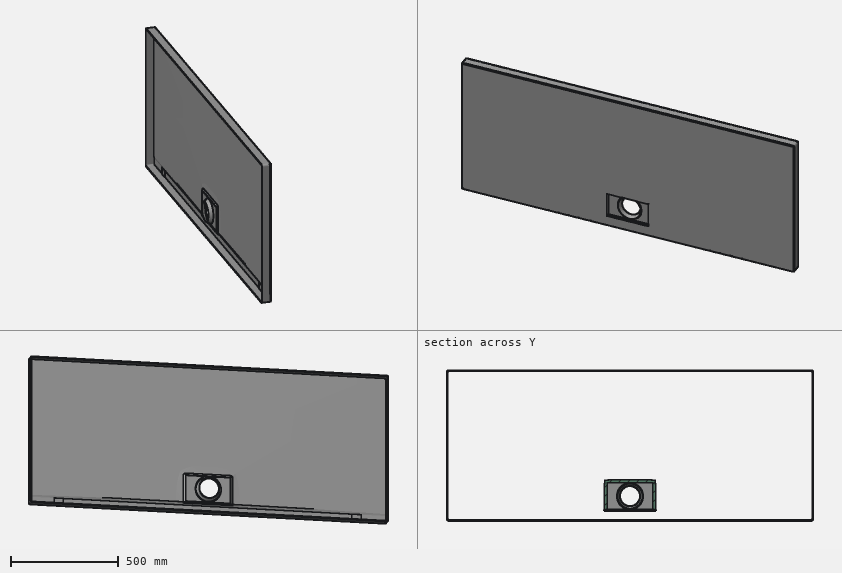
import cadquery as cq
import math

length = 1700.0
depth = 48.0
height = 700.0
corner_radius = 10.0
edge_chamfer = 5.0
wall = 5.0

half_length = length / 2
half_height = height / 2
back_y = depth / 2
front_y = -depth / 2

ledge_level = 17.0
rim_level = 15.0
back_middle_level = 14.5
knee_level = 12.0
foot_level = 12.0
skirt_level = 10.0
sump_level = 8.0
platform_level = 2.0
collar_level = -17.0

floor_left = wall - half_length
floor_top = half_height - wall
floor_bottom = -300.0
floor_corner_z = -305.0
ledge_top = -313.0
knee_x, knee_z = -393.0, 19.0
side_seam_z = 25.0
back_seam_x = -425.0
back_bow_x, back_bow_z = -413.0, 170.0
arch_crown_z = 114.0
arch_bow_x, arch_bow_z = -204.0, 82.0
foot_x = -500.0
foot_bow_x, foot_bow_z = -465.0, -130.0

skirt_corner_x, skirt_corner_z = -131.0, -151.0
skirt_side_x = -151.0
skirt_bow_x, skirt_bow_z = -146.0, -209.0
skirt_crown_z = -128.0
skirt_shoulder_x, skirt_shoulder_z = -92.0, -133.0

sump_half_width = 117.0
sump_top = -162.0
sump_corner_radius = 14.0
sump_wall_run = 10.0
drain_z = -235.0
drain_radius = 46.0
funnel_radius = 58.0
collar_base_radius = 61.0
collar_tip_radius = 48.0

sheet = 3.0
recess_margin = 12.0

pad_center_x = 707.0
pad_width = 45.0
pad_thickness = 2.0


def point(x, y, z):
    return cq.Vector(x, y, z)


def line(start, end):
    return cq.Edge.makeLine(start, end)


def arc(start, middle, end):
    return cq.Edge.makeThreePointArc(start, middle, end)


def ruled(first, second):
    return cq.Face.makeRuledSurface(first, second)


def flat(*corners):
    return cq.Face.makeFromWires(cq.Wire.makePolygon(corners, close=True))


def back_panel_level(x, z):
    """Level of the flat panel through the back seam, the knee and the back middle."""
    slope_x = (back_middle_level - rim_level) / -back_seam_x
    knee_drop = knee_level - rim_level - slope_x * (knee_x - back_seam_x)
    slope_z = knee_drop / (floor_top - knee_z)
    return rim_level + slope_x * (x - back_seam_x) + slope_z * (floor_top - z)


def on_back_panel(x, z):
    return point(x, back_panel_level(x, z), z)


def floor_half():
    """Left half of the sloped floor, bounded by its panels, a flat back and flat sides."""
    knee = point(knee_x, knee_level, knee_z)
    rim_top = point(floor_left, rim_level, floor_top)
    rim_seam = point(floor_left, rim_level, side_seam_z)
    rim_bottom = point(floor_left, rim_level, floor_corner_z)
    back_seam = on_back_panel(back_seam_x, floor_top)
    back_middle = on_back_panel(0, floor_top)
    crown = on_back_panel(0, arch_crown_z)
    foot = point(foot_x, foot_level, floor_bottom)
    skirt_corner = point(skirt_corner_x, skirt_level, skirt_corner_z)
    skirt_crown = point(0, skirt_level, skirt_crown_z)
    skirt_foot = point(skirt_side_x, skirt_level, floor_bottom)
    sump_corner = point(-sump_half_width, sump_level, sump_top)
    sump_middle = point(0, sump_level, sump_top)
    sump_foot = point(-sump_half_width, sump_level, floor_bottom)
    middle_foot = point(0, sump_level, floor_bottom)
    foot_points = [rim_bottom, foot, skirt_foot, sump_foot, middle_foot]
    ledge_points = [point(p.x, ledge_level, ledge_top) for p in foot_points]
    back_corners = [
        point(x, back_y, z)
        for x, z in [(floor_left, ledge_top), (0, ledge_top), (0, floor_top), (floor_left, floor_top)]
    ]
    low_left, low_middle, high_middle, high_left = back_corners

    back_curve = arc(knee, on_back_panel(back_bow_x, back_bow_z), back_seam)
    arch_bow = on_back_panel(arch_bow_x, arch_bow_z)
    crown_direction = on_back_panel(17, arch_crown_z) - crown
    arch_curve = cq.Edge.makeSpline([knee, arch_bow, crown], tangents=[arch_bow - knee, crown_direction])
    foot_bow_level = (knee_level + foot_level) / 2
    foot_curve = arc(knee, point(foot_bow_x, foot_bow_level, foot_bow_z), foot)
    skirt_side = arc(skirt_corner, point(skirt_bow_x, skirt_level, skirt_bow_z), skirt_foot)
    skirt_shoulder = point(skirt_shoulder_x, skirt_level, skirt_shoulder_z)
    skirt_top = cq.Edge.makeSpline(
        [skirt_corner, skirt_shoulder, skirt_crown],
        tangents=[skirt_shoulder - skirt_corner, point(1, 0, 0)],
    )

    back_outline = [back_curve, line(back_seam, back_middle), line(back_middle, crown), arch_curve]
    faces = [
        cq.Face.makeFromWires(cq.Wire.assembleEdges(back_outline)),
        ruled(back_curve, line(rim_seam, rim_top)),
        ruled(foot_curve, line(rim_seam, rim_bottom)),
        ruled(foot_curve, skirt_side),
        ruled(arch_curve, skirt_top),
        ruled(skirt_side, line(sump_corner, sump_foot)),
        ruled(skirt_top, line(sump_corner, sump_middle)),
        flat(sump_corner, sump_middle, middle_foot, sump_foot),
        flat(*back_corners),
        flat(rim_top, back_seam, back_middle, high_middle, high_left),
        flat(rim_top, rim_seam, rim_bottom, ledge_points[0], low_left, high_left),
        flat(
            back_middle, crown, skirt_crown, sump_middle, middle_foot,
            ledge_points[-1], low_middle, high_middle,
        ),
        flat(*ledge_points, low_middle, low_left),
    ]
    for i in range(len(foot_points) - 1):
        upper_edge = line(foot_points[i], foot_points[i + 1])
        lower_edge = line(ledge_points[i], ledge_points[i + 1])
        faces.append(ruled(upper_edge, lower_edge))
    half = cq.Solid.makeSolid(cq.Shell.makeShell(faces)).fix()
    return cq.Workplane(obj=half)


def tray():
    """Thin-walled tray with a flat floor at ledge level."""
    block = cq.Workplane("XY").box(length, depth, height)
    block = block.edges("|Y").fillet(corner_radius)
    block = block.faces(">Y").chamfer(edge_chamfer)
    cavity_depth = ledge_level - front_y
    cavity = (
        cq.Workplane("XZ", origin=(0, ledge_level, 0))
        .rect(length - 2 * wall, height - 2 * wall)
        .extrude(cavity_depth)
        .edges("|Y")
        .fillet(corner_radius - wall)
    )
    return block.cut(cavity)


def sump_platform():
    """Raised drain platform with sloping, rounded sides; its lower end overruns the step."""
    rise = sump_level - platform_level
    overrun_bottom = ledge_top - 2 * sump_wall_run
    return (
        cq.Workplane("XZ", origin=(0, sump_level, (sump_top + overrun_bottom) / 2))
        .sketch()
        .rect(2 * sump_half_width, sump_top - overrun_bottom)
        .vertices()
        .fillet(sump_corner_radius)
        .finalize()
        .extrude(rise, taper=math.degrees(math.atan2(sump_wall_run, rise)))
    )


def step_envelope():
    """Everything above the sloping step face below the platform."""
    return (
        cq.Workplane("YZ", origin=(-half_length, 0, 0))
        .polyline([
            (ledge_level, ledge_top),
            (platform_level, floor_bottom),
            (platform_level, half_height),
            (ledge_level, half_height),
        ])
        .close()
        .extrude(length)
    )


def drain_collar():
    return (
        cq.Workplane("XZ", origin=(0, platform_level, drain_z))
        .circle(collar_base_radius)
        .workplane(offset=platform_level - collar_level)
        .circle(collar_tip_radius)
        .loft()
    )


def drain_recess():
    """Pocket in the tread face behind the platform."""
    recess_top = sump_top - recess_margin
    recess_bottom = floor_bottom + sheet
    return (
        cq.Workplane("XZ", origin=(0, back_y, (recess_top + recess_bottom) / 2))
        .rect(2 * (sump_half_width - recess_margin), recess_top - recess_bottom)
        .extrude(back_y - platform_level - sheet)
    )


def drain_funnel():
    """Tapered opening from the recess floor to the tip of the collar."""
    return (
        cq.Workplane("XZ", origin=(0, platform_level + sheet, drain_z))
        .circle(funnel_radius)
        .workplane(offset=platform_level + sheet - collar_level)
        .circle(drain_radius)
        .loft()
    )


def ledge_pad(center_x):
    pad_bottom = wall - half_height
    center = (center_x, ledge_level - pad_thickness / 2, (ledge_top + pad_bottom) / 2)
    return cq.Workplane("XY").box(pad_width, pad_thickness, ledge_top - pad_bottom).translate(center)


left_floor = floor_half()
platform = sump_platform().intersect(step_envelope())

body = tray().union(left_floor).union(left_floor.mirror("YZ")).union(platform)
body = body.union(drain_collar()).cut(drain_recess()).cut(drain_funnel())
for side in (-1, 1):
    body = body.union(ledge_pad(side * pad_center_x))

result = cq.Workplane(obj=body.solids().val())